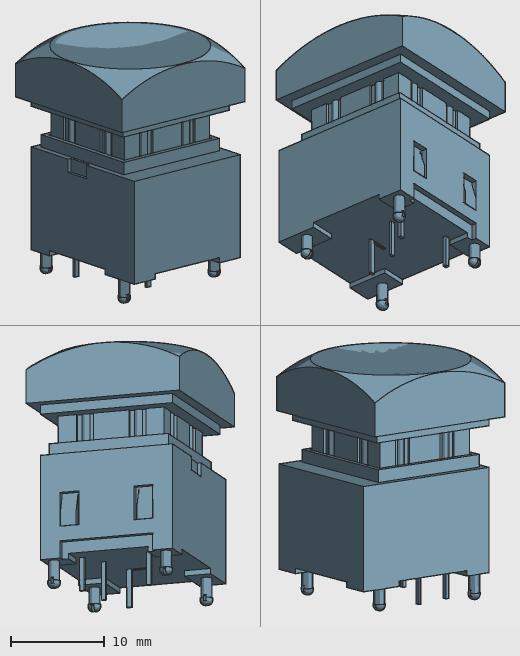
import cadquery as cq
import math

TOTAL_HEIGHT = 26.6
CAP_BOTTOM = 20.62
FLANGE_BOTTOM = 19.6
COLLAR_TOP = 16.47
COLLAR_BOTTOM = 15.08
COVER_BOTTOM = 13.6
UNDERSIDE = 4.18
FEET_BOTTOM = 3.6

CAP_SIDE = 17.4
FLANGE_SIDE = 15.0
NECK_SIDE = 12.02
COLLAR_SIDE = 13.5
NECK_CLEARANCE = 0.13

DOME_RADIUS = 20.0
RIM_RADIUS = 8.6
DISH_RADIUS = 8.03
DISH_DEPTH = 0.8

GROOVE_OFFSET = 2.98
GROOVE_WIDTH = 1.92
GROOVE_DEPTH = 0.3
COLUMN_DIAMETER = 1.0

HOUSING_WIDTH_Y = FLANGE_SIDE
HOUSING_LEFT = -HOUSING_WIDTH_Y / 2
OVERALL_LENGTH_X = 18.0
HOUSING_RIGHT = OVERALL_LENGTH_X - CAP_SIDE / 2
FOOT_GAP = 9.02
WALL_RECESS = 0.6
NOTCH_WIDTH = 2.98
NOTCH_DEPTH = 0.4

CLIP_WIDTH = 10.48
CLIP_BOTTOM = 5.48
WINDOW_WIDTH = 2.1
WINDOW_BOTTOM = 7.1
WINDOW_TOP = 10.8
HOOK_WIDTH = 1.78
HOOK_TOP = 10.6
HOOK_RIDGE = 8.7
HOOK_SETBACK = 0.05

PEG_OFFSET = 6.35
PEG_DIAMETER = 1.2
PRONG_SPREAD = 0.19
BARB_HEIGHT = 0.19
LONG_PEG = 2.37
SHORT_PEG = 2.0
PEG_SLOT_WIDTH = 0.3
PEG_SLOT_TOP = 1.7
PEG_SLOT_BOTTOM = 1.05

PIN_EMBED = 0.53
LAMP_PIN_TIP = 0.55
LAMP_PIN_X = -4.52
LAMP_PIN_Y = 3.78
LAMP_PIN_SIZE = (0.4, 0.5)
CONTACT_PIN_X = 2.0
CONTACT_PIN_THICKNESS = 0.3
CONTACT_PINS = [(-CONTACT_PIN_X, 2.25, 0.5), (CONTACT_PIN_X, 0.8, 0.59)]
CONTACT_BLADE_LENGTH = 1.9
CONTACT_BLADE_DROP = 0.1


def block(x_range, y_range, z_range):
    """Box spanning the given (low, high) ranges."""
    (x0, x1), (y0, y1), (z0, z1) = x_range, y_range, z_range
    return cq.Workplane("XY").box(x1 - x0, y1 - y0, z1 - z0, centered=False).translate((x0, y0, z0))


def square_block(side, z_range):
    """Square block centred on the Z axis."""
    half = side / 2
    return block((-half, half), (-half, half), z_range)


def make_cap():
    """Square cap whose corners fall away along a sphere, with a dished top."""
    blank = square_block(CAP_SIDE, (CAP_BOTTOM, TOTAL_HEIGHT))
    dome_centre = TOTAL_HEIGHT - math.sqrt(DOME_RADIUS**2 - RIM_RADIUS**2)
    dome = cq.Workplane("XY").sphere(DOME_RADIUS).translate((0, 0, dome_centre))
    dish_sphere_radius = (DISH_RADIUS**2 + DISH_DEPTH**2) / (2 * DISH_DEPTH)
    dish_centre = TOTAL_HEIGHT - DISH_DEPTH + dish_sphere_radius
    dish = cq.Workplane("XY").sphere(dish_sphere_radius).translate((0, 0, dish_centre))
    return blank.intersect(dome).cut(dish)


def make_collar():
    """Square collar with a narrow clearance all round the neck."""
    levels = (COLLAR_BOTTOM, COLLAR_TOP)
    opening = square_block(NECK_SIDE + 2 * NECK_CLEARANCE, levels)
    return square_block(COLLAR_SIDE, levels).cut(opening)


def make_neck():
    """Square neck reaching down inside the collar, with two column-filled grooves on each side."""
    half = NECK_SIDE / 2
    levels = (COLLAR_BOTTOM, FLANGE_BOTTOM)
    neck = square_block(NECK_SIDE, levels)
    column_radius = COLUMN_DIAMETER / 2
    for quarter_turn in range(4):
        angle = 90 * quarter_turn
        for centre in (-GROOVE_OFFSET, GROOVE_OFFSET):
            edges = (centre - GROOVE_WIDTH / 2, centre + GROOVE_WIDTH / 2)
            groove = block(edges, (-half, -half + GROOVE_DEPTH), levels)
            column = (
                cq.Workplane("XY", origin=(centre, -half + column_radius, COLLAR_BOTTOM))
                .circle(column_radius)
                .extrude(FLANGE_BOTTOM - COLLAR_BOTTOM)
            )
            neck = neck.cut(groove.rotate((0, 0, 0), (0, 0, 1), angle))
            neck = neck.union(column.rotate((0, 0, 0), (0, 0, 1), angle))
    return neck


def make_hook(side):
    """Snap hook with a sloped upper face, next to the strip on the given Y side."""
    floor_x = HOUSING_LEFT + WALL_RECESS
    front_x = HOUSING_LEFT + HOOK_SETBACK
    profile = [
        (floor_x, WINDOW_BOTTOM),
        (front_x, WINDOW_BOTTOM),
        (front_x, HOOK_RIDGE),
        (floor_x, HOOK_TOP),
    ]
    hook = cq.Workplane("XZ").polyline(profile).close().extrude(-HOOK_WIDTH)
    low_y = CLIP_WIDTH / 2 - HOOK_WIDTH
    if side < 0:
        low_y = -CLIP_WIDTH / 2
    return hook.translate((0, low_y, 0))


def make_housing():
    """Housing with corner feet, a notch in its front rim and the clip on -X."""
    half_y = HOUSING_WIDTH_Y / 2
    half_gap = FOOT_GAP / 2
    half_clip = CLIP_WIDTH / 2
    x_range = (HOUSING_LEFT, HOUSING_RIGHT)
    y_range = (-half_y, half_y)
    wall_range = (HOUSING_LEFT, HOUSING_LEFT + WALL_RECESS)
    housing = block(x_range, y_range, (FEET_BOTTOM, COLLAR_BOTTOM))

    gap_range = (-half_gap, half_gap)
    housing = housing.cut(block(gap_range, y_range, (FEET_BOTTOM, UNDERSIDE)))
    housing = housing.cut(block(x_range, gap_range, (FEET_BOTTOM, UNDERSIDE)))

    notch_range = (-NOTCH_WIDTH / 2, NOTCH_WIDTH / 2)
    front_range = (-half_y, -half_y + NOTCH_DEPTH)
    housing = housing.cut(block(notch_range, front_range, (COVER_BOTTOM, COLLAR_BOTTOM)))

    housing = housing.cut(block(wall_range, (-half_clip, half_clip), (FEET_BOTTOM, CLIP_BOTTOM)))

    for side in (-1, 1):
        window_edges = sorted((side * half_clip, side * (half_clip - WINDOW_WIDTH)))
        housing = housing.cut(block(wall_range, window_edges, (WINDOW_BOTTOM, WINDOW_TOP)))
        housing = housing.union(make_hook(side))
    return housing


def make_peg(x, y, length, slot_bottom):
    """Round peg whose slotted, domed end is spread along Y to form a snap barb."""
    radius = PEG_DIAMETER / 2
    barb_z = FEET_BOTTOM - length
    shaft = cq.Workplane("XY", origin=(0, 0, barb_z)).circle(radius).extrude(length)

    barb = (
        cq.Workplane("XY", origin=(0, 0, barb_z))
        .slot2D(PEG_DIAMETER + PRONG_SPREAD, PEG_DIAMETER, 90)
        .extrude(BARB_HEIGHT)
    )

    half_spread = PRONG_SPREAD / 2
    tip = (
        cq.Workplane("XZ", origin=(0, -half_spread, barb_z))
        .circle(radius)
        .extrude(-PRONG_SPREAD)
    )
    for dome_y in (-half_spread, half_spread):
        tip = tip.union(cq.Workplane("XY").sphere(radius).translate((0, dome_y, barb_z)))
    reach = (-PEG_DIAMETER, PEG_DIAMETER)
    tip = tip.intersect(block(reach, reach, (0, barb_z)))

    slot_width = (-PEG_SLOT_WIDTH / 2, PEG_SLOT_WIDTH / 2)
    slot = block(reach, slot_width, (slot_bottom, PEG_SLOT_TOP))
    return shaft.union(barb).union(tip).cut(slot).translate((x, y, 0))


def make_pin(x, y, size_x, size_y, tip_z):
    """Rectangular pin running up into the housing."""
    return block(
        (x - size_x / 2, x + size_x / 2),
        (y - size_y / 2, y + size_y / 2),
        (tip_z, UNDERSIDE + PIN_EMBED),
    )


def make_contact_blade():
    """Thin blade beside the wide contact pin, just showing below the housing."""
    x, y, pin_width = CONTACT_PINS[1]
    pin_edge = y - pin_width / 2
    return block(
        (x - CONTACT_PIN_THICKNESS / 2, x + CONTACT_PIN_THICKNESS / 2),
        (pin_edge - CONTACT_BLADE_LENGTH, pin_edge),
        (UNDERSIDE - CONTACT_BLADE_DROP, UNDERSIDE + PIN_EMBED),
    )


result = (
    make_housing()
    .union(make_collar())
    .union(make_neck())
    .union(square_block(FLANGE_SIDE, (FLANGE_BOTTOM, CAP_BOTTOM)))
    .union(make_cap())
)

for x_side in (-1, 1):
    for y_side in (-1, 1):
        is_short = x_side == y_side
        peg_length = SHORT_PEG if is_short else LONG_PEG
        slot_end = 0 if is_short else PEG_SLOT_BOTTOM
        result = result.union(make_peg(x_side * PEG_OFFSET, y_side * PEG_OFFSET, peg_length, slot_end))

for y_side in (-1, 1):
    result = result.union(make_pin(LAMP_PIN_X, y_side * LAMP_PIN_Y, *LAMP_PIN_SIZE, LAMP_PIN_TIP))

for pin_x, pin_y, pin_width in CONTACT_PINS:
    result = result.union(make_pin(pin_x, pin_y, CONTACT_PIN_THICKNESS, pin_width, 0))
result = result.union(make_contact_blade())